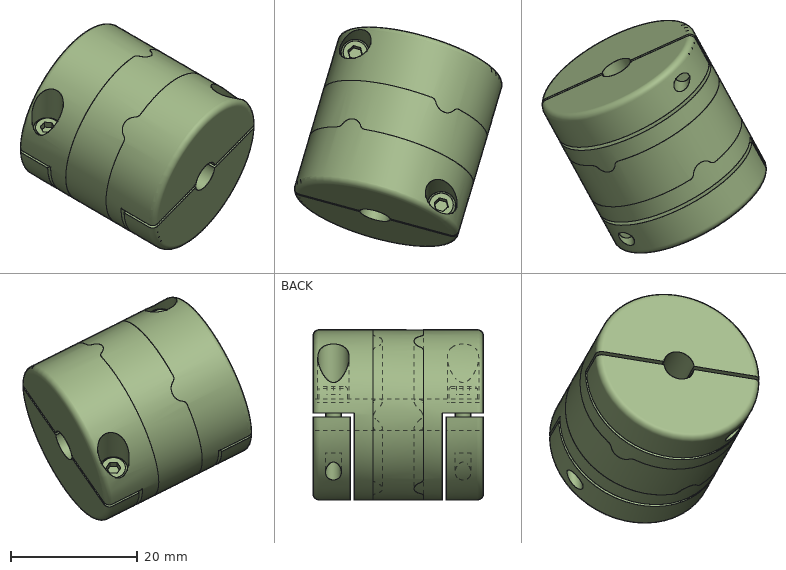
import cadquery as cq
import math


outer_diameter = 27.0
overall_length = 27.0
bore_diameter = 5.0
end_fillet = 1.0

outer_radius = outer_diameter / 2
half_length = overall_length / 2

insert_length = 8.0
insert_half = insert_length / 2

tooth_height = 1.48
tooth_nose_radius = 2.0
tooth_root_fillet = 1.0
tooth_angles = (120.0, 240.0)

nose_centre_depth = tooth_nose_radius - tooth_height
arc_centre_distance = tooth_nose_radius + tooth_root_fillet
tooth_flank_angle = math.acos((nose_centre_depth + tooth_root_fillet) / arc_centre_distance)
tooth_half_width = arc_centre_distance * math.sin(tooth_flank_angle)

slit_width = 0.6
slit_inner_x = 7.0

screw_x = 10.25
screw_y = 10.0
counterbore_diameter = 5.0
screw_diameter = 2.5
screw_length = 8.0
head_diameter = 4.5
head_height = 2.5
head_chamfer = 0.35
socket_across_flats = 2.0
socket_depth = 1.25
seat_z = 2.0


def x_cylinder(diameter, start_x, end_x):
    """Solid cylinder on the X axis."""
    return cq.Workplane("YZ").workplane(offset=start_x).circle(diameter / 2).extrude(end_x - start_x)


def z_cylinder(diameter, bottom_z, top_z):
    """Solid cylinder along Z on the screw axis."""
    plane = cq.Workplane("XY", origin=(screw_x, screw_y, bottom_z))
    return plane.circle(diameter / 2).extrude(top_z - bottom_z)


def tooth(angle):
    """Round-nosed radial tooth on the inner face of the +X hub, with flared roots."""
    touch_x = insert_half + nose_centre_depth - tooth_nose_radius * math.cos(tooth_flank_angle)
    touch_y = tooth_nose_radius * math.sin(tooth_flank_angle)
    nose_x = insert_half - tooth_height
    root_mid_x = insert_half - tooth_root_fillet * (1 - math.cos(tooth_flank_angle / 2))
    root_mid_y = tooth_half_width - tooth_root_fillet * math.sin(tooth_flank_angle / 2)
    root_x = insert_half + tooth_root_fillet
    outline = (
        cq.Workplane("XY")
        .moveTo(root_x, -tooth_half_width)
        .lineTo(insert_half, -tooth_half_width)
        .threePointArc((root_mid_x, -root_mid_y), (touch_x, -touch_y))
        .threePointArc((nose_x, 0), (touch_x, touch_y))
        .threePointArc((root_mid_x, root_mid_y), (insert_half, tooth_half_width))
        .lineTo(root_x, tooth_half_width)
        .close()
    )
    prism = outline.extrude(outer_diameter).rotate((0, 0, 0), (1, 0, 0), angle - 90)
    return prism.intersect(x_cylinder(outer_diameter, 0, root_x))


def screw():
    """Socket-head clamp screw, threaded down into the cap."""
    head_top = seat_z + head_height
    head = z_cylinder(head_diameter, seat_z, head_top).faces(">Z").chamfer(head_chamfer)
    corner_diameter = socket_across_flats / math.cos(math.pi / 6)
    socket = (
        cq.Workplane("XY", origin=(screw_x, screw_y, head_top))
        .transformed(rotate=(0, 0, 90))
        .polygon(6, corner_diameter)
        .extrude(-socket_depth)
    )
    shank = z_cylinder(screw_diameter, seat_z - screw_length, seat_z)
    return head.union(shank).cut(socket)


def slits():
    """Slot on the bore centre plane and cross slot below it, which set the clamp cap apart."""
    slot = cq.Workplane("XY").box(
        half_length - slit_inner_x, outer_diameter, slit_width, centered=(False, True, True)
    )
    cross_slot = cq.Workplane("XY").box(
        slit_width, outer_diameter, outer_radius, centered=(False, True, False)
    ).translate((0, 0, -outer_radius))
    return slot.union(cross_slot).translate((slit_inner_x, 0, 0))


def hub():
    """The +X hub, complete with clamp cap and screw."""
    body = x_cylinder(outer_diameter, insert_half, half_length).faces(">X").edges().fillet(end_fillet)
    for angle in tooth_angles:
        body = body.union(tooth(angle))
    body = body.cut(x_cylinder(bore_diameter, 0, half_length))
    body = body.cut(slits())
    body = body.cut(z_cylinder(counterbore_diameter, seat_z, outer_radius))
    body = body.cut(z_cylinder(screw_diameter, -outer_radius, seat_z))
    return body.union(screw())


def insert(hubs):
    """Rubber ring that fills the space between the hubs and around their teeth."""
    ring = x_cylinder(outer_diameter, -insert_half, insert_half)
    ring = ring.cut(x_cylinder(bore_diameter, -insert_half, insert_half))
    for each_hub in hubs:
        ring = ring.cut(each_hub)
    return ring


right_hub = hub()
hubs = [right_hub.rotate((0, 0, 0), (0, 0, 1), turn) for turn in (0, 180)]
rubber_insert = insert(hubs)

hub_solids = [each_hub.solids().val() for each_hub in hubs]
result = cq.Compound.makeCompound([*hub_solids, rubber_insert.solids().val()])